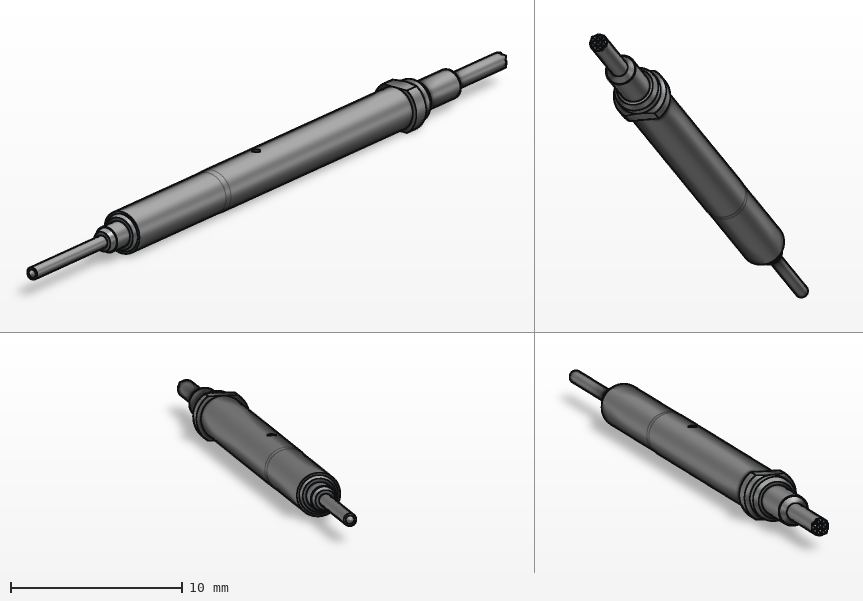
import cadquery as cq
import math


BODY_R = 1.325
REAR_BODY_R = 1.30
FLANGE_R = 1.595
LIP_FRONT_R = 1.10
FRONT_SLEEVE_R = 0.91
FRONT_SLEEVE_MOUTH_R = 0.86
PLUNGER_R = 0.52
BODY_END_CHAMFER_R = 1.16
BODY_END_R = 1.00
REAR_SLEEVE_R = 0.79
REAR_SLEEVE_MOUTH_R = 0.74
REAR_SLEEVE_END_R = 0.60
PIN_R = 0.38
PIN_POINT_BASE_R = 0.25

CROWN_Y = 10.15
FRONT_SLEEVE_END_Y = 5.45
FRONT_SLEEVE_EDGE_Y = 5.10
LIP_FRONT_Y = 2.05
LIP_EDGE_Y = 1.68
COLLAR_REAR_Y = 1.12
FLANGE_EDGE_Y = 0.92
FLANGE_REAR_Y = 0.0
TAPER_FRONT_Y = -17.25
TAPER_REAR_Y = -17.68
BODY_EDGE_Y = -25.85
BODY_END_Y = -26.10
REAR_SLEEVE_EDGE_Y = -27.30
REAR_SLEEVE_END_Y = -27.72
PIN_END_Y = -34.35
PIN_POINT_Y = -34.65

FLAT_HEIGHT = 2 * BODY_R

VENT_DIAMETER = 0.50
VENT_DEPTH = 0.30
VENT_Y = -13.17

CROWN_PITCH = 0.32
CROWN_ANGLE = 60.0
GROOVES_PER_DIRECTION = 4


def turn_stepped_body():
    """Revolve the stepped half outline about the Y axis."""
    outline = [
        (0, CROWN_Y),
        (PLUNGER_R, CROWN_Y),
        (PLUNGER_R, FRONT_SLEEVE_END_Y),
        (FRONT_SLEEVE_MOUTH_R, FRONT_SLEEVE_EDGE_Y),
        (FRONT_SLEEVE_R, FRONT_SLEEVE_EDGE_Y),
        (FRONT_SLEEVE_R, LIP_FRONT_Y),
        (LIP_FRONT_R, LIP_FRONT_Y),
        (BODY_R, LIP_EDGE_Y),
        (BODY_R, COLLAR_REAR_Y),
        (FLANGE_R, FLANGE_EDGE_Y),
        (FLANGE_R, FLANGE_REAR_Y),
        (BODY_R, FLANGE_REAR_Y),
        (BODY_R, TAPER_FRONT_Y),
        (REAR_BODY_R, TAPER_REAR_Y),
        (REAR_BODY_R, BODY_EDGE_Y),
        (BODY_END_CHAMFER_R, BODY_EDGE_Y),
        (BODY_END_R, BODY_END_Y),
        (REAR_SLEEVE_R, BODY_END_Y),
        (REAR_SLEEVE_R, REAR_SLEEVE_EDGE_Y),
        (REAR_SLEEVE_MOUTH_R, REAR_SLEEVE_EDGE_Y),
        (REAR_SLEEVE_END_R, REAR_SLEEVE_END_Y),
        (PIN_R, REAR_SLEEVE_END_Y),
        (PIN_R, PIN_END_Y),
        (PIN_POINT_BASE_R, PIN_END_Y),
        (0, PIN_POINT_Y),
    ]
    return cq.Workplane("XY").polyline(outline).close().revolve(360, (0, 0, 0), (0, 1, 0))


def cut_wrench_flats(part):
    """Trim the flange to the body height above and below."""
    flange_length = COLLAR_REAR_Y - FLANGE_REAR_Y
    flange_mid_y = (COLLAR_REAR_Y + FLANGE_REAR_Y) / 2
    trim_height = FLANGE_R
    trim = cq.Workplane("XY").box(2 * FLANGE_R, flange_length, trim_height)
    for side in (1, -1):
        trim_mid_z = side * (FLAT_HEIGHT + trim_height) / 2
        part = part.cut(trim.translate((0, flange_mid_y, trim_mid_z)))
    return part


def cut_vent_hole(part):
    """Drill the blind vent hole down from the top of the body."""
    hole = (
        cq.Workplane("XY", origin=(0, VENT_Y, BODY_R - VENT_DEPTH))
        .circle(VENT_DIAMETER / 2)
        .extrude(2 * VENT_DEPTH)
    )
    return part.cut(hole)


def cut_crown(part):
    """Cut crossing V grooves across the plunger end, leaving pyramid points."""
    half_width = CROWN_PITCH / 2
    depth = half_width / math.tan(math.radians(CROWN_ANGLE / 2))
    groove = (
        cq.Workplane("XY")
        .polyline([(-half_width, CROWN_Y), (half_width, CROWN_Y), (0, CROWN_Y - depth)])
        .close()
        .extrude(2 * PLUNGER_R, both=True)
    )
    for index in range(GROOVES_PER_DIRECTION):
        offset = (index - (GROOVES_PER_DIRECTION - 1) / 2) * CROWN_PITCH
        shifted = groove.translate((offset, 0, 0))
        part = part.cut(shifted)
        part = part.cut(shifted.rotate((0, 0, 0), (0, 1, 0), 90))
    return part


result = turn_stepped_body()
result = cut_wrench_flats(result)
result = cut_vent_hole(result)
result = cut_crown(result)